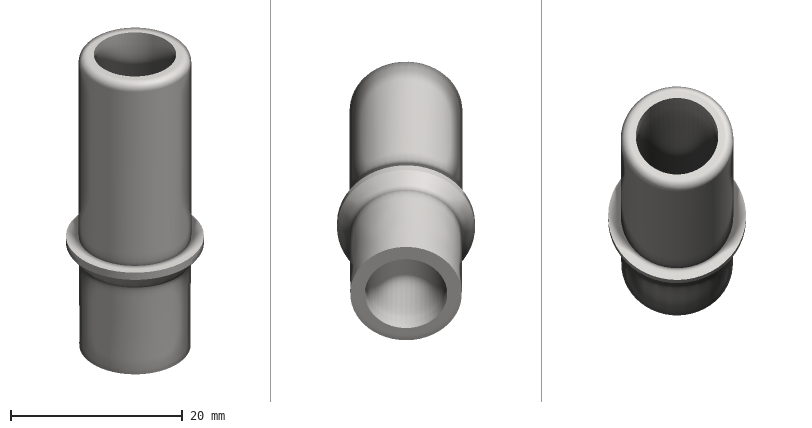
import cadquery as cq

length = 40.0
tube_diameter = 13.1
bore_diameter = 9.6
top_rounding = 1.0

collar_diameter = 16.1
collar_top = 15.0
collar_rim_height = 1.0
cone_height = 2.0

spigot_end_diameter = 13.0

collar_bottom = collar_top - collar_rim_height
spigot_height = collar_bottom - cone_height

tube_radius = tube_diameter / 2
collar_radius = collar_diameter / 2
bore_radius = bore_diameter / 2

half_section = (
    cq.Workplane("XZ")
    .moveTo(bore_radius, 0)
    .lineTo(spigot_end_diameter / 2, 0)
    .lineTo(tube_radius, spigot_height)
    .lineTo(collar_radius, collar_bottom)
    .lineTo(collar_radius, collar_top)
    .lineTo(tube_radius, collar_top)
    .lineTo(tube_radius, length)
    .lineTo(bore_radius, length)
    .close()
)
body = half_section.revolve(360, (0, 0, 0), (0, 1, 0))

outer_top_edge = cq.selectors.RadiusNthSelector(-1)
result = body.faces(">Z").edges(outer_top_edge).fillet(top_rounding)